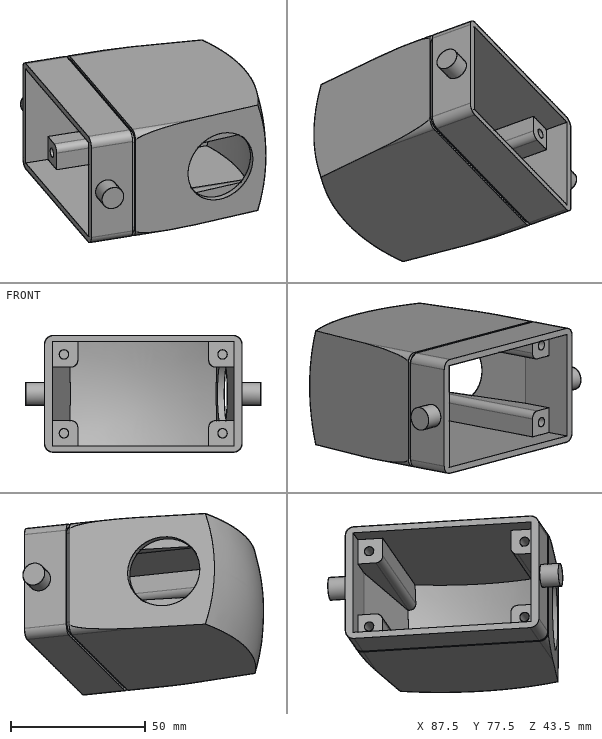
import cadquery as cq
import math

TOTAL_WIDTH = 87.5
TOTAL_LENGTH = 77.5
HEIGHT = 43.5

BODY_WIDTH = 73.5
CORNER_RADIUS = 3.3
SIDE_WALL = 3.0
FLAT_WALL = 2.4
DOME_WALL = 2.6
DOME_RADIUS = 80.5
DOME_CENTER_Y = TOTAL_LENGTH - DOME_RADIUS

OUTER_TAPER_START = 17.5
INNER_TAPER_START = 20.4
TAPER_SLOPE = 7.8 / 58.2

GROOVE_WIDTH = 1.1
GROOVE_DEPTH = 1.0

LUG_DIAMETER = 8.6
LUG_Y = 5.95

ENTRY_DIAMETER = 27.0
ENTRY_Y = 52.9

POST_SIZE = 9.45
POST_FILLET = 2.6
POST_FRONT_Y = 8.8
POST_HOLE_DIAMETER = 3.5
POST_HOLE_DEPTH = 10.5
POST_HOLE_INSET_X = 4.3
POST_HOLE_INSET_Z = 4.7

CAVITY_WIDTH = BODY_WIDTH - 2 * SIDE_WALL
CAVITY_HEIGHT = HEIGHT - 2 * FLAT_WALL


def block_along_y(width, height, start, end):
    """Rectangular block centred on the Y axis, from start to end along Y."""
    return cq.Workplane("XZ", origin=(0, start, 0)).rect(width, height).extrude(start - end)


def domed_wedge(width, height, taper_start, dome_radius):
    """Block with sides that taper past taper_start and a spherical far end."""
    half_width = width / 2
    end_half_width = half_width - TAPER_SLOPE * (TOTAL_LENGTH - taper_start)
    wedge = (
        cq.Workplane("XY", origin=(0, 0, -height / 2))
        .moveTo(-half_width, 0)
        .lineTo(half_width, 0)
        .lineTo(half_width, taper_start)
        .lineTo(end_half_width, TOTAL_LENGTH)
        .lineTo(-end_half_width, TOTAL_LENGTH)
        .lineTo(-half_width, taper_start)
        .close()
        .extrude(height)
    )
    return wedge.intersect(make_dome(dome_radius))


def make_dome(radius):
    """Half ball about the dome centre, with its pole on the +Y axis."""
    diagonal = radius * math.sqrt(0.5)
    return (
        cq.Workplane("XY")
        .moveTo(0, DOME_CENTER_Y)
        .lineTo(radius, DOME_CENTER_Y)
        .threePointArc((diagonal, DOME_CENTER_Y + diagonal), (0, DOME_CENTER_Y + radius))
        .close()
        .revolve(360, (0, 0, 0), (0, 1, 0))
    )


def make_cavity():
    return domed_wedge(CAVITY_WIDTH, CAVITY_HEIGHT, INNER_TAPER_START, DOME_RADIUS - DOME_WALL)


def make_groove():
    """Ring of material removed from around the outside."""
    start = OUTER_TAPER_START - GROOVE_WIDTH
    ring = block_along_y(BODY_WIDTH, HEIGHT, start, OUTER_TAPER_START)
    core = block_along_y(
        BODY_WIDTH - 2 * GROOVE_DEPTH, HEIGHT - 2 * GROOVE_DEPTH, start, OUTER_TAPER_START
    )
    return ring.cut(core.edges("|Y").fillet(CORNER_RADIUS))


def make_lugs():
    """Round bar through both lugs; the cavity later removes its middle."""
    return (
        cq.Workplane("YZ", origin=(-TOTAL_WIDTH / 2, LUG_Y, 0))
        .circle(LUG_DIAMETER / 2)
        .extrude(TOTAL_WIDTH)
    )


def make_cable_entry():
    return (
        cq.Workplane("YZ", origin=(0, ENTRY_Y, 0))
        .circle(ENTRY_DIAMETER / 2)
        .extrude(BODY_WIDTH / 2)
    )


def make_housing():
    rounded_block = block_along_y(BODY_WIDTH, HEIGHT, 0, TOTAL_LENGTH).edges("|Y").fillet(CORNER_RADIUS)
    outside = rounded_block.intersect(domed_wedge(BODY_WIDTH, HEIGHT, OUTER_TAPER_START, DOME_RADIUS))
    return (
        outside.cut(make_groove())
        .union(make_lugs())
        .cut(make_cavity())
        .cut(make_cable_entry())
    )


def make_post(side_x, side_z):
    """Screw post in one cavity corner, running back to the tapered side and the dome."""
    center_x = side_x * (CAVITY_WIDTH - POST_SIZE) / 2
    center_z = side_z * (CAVITY_HEIGHT - POST_SIZE) / 2
    hole_x = side_x * (CAVITY_WIDTH / 2 - POST_HOLE_INSET_X)
    hole_z = side_z * (CAVITY_HEIGHT / 2 - POST_HOLE_INSET_Z)
    inner_corner = (
        center_x - side_x * POST_SIZE / 2,
        (POST_FRONT_Y + TOTAL_LENGTH) / 2,
        center_z - side_z * POST_SIZE / 2,
    )
    bar = (
        block_along_y(POST_SIZE, POST_SIZE, POST_FRONT_Y, TOTAL_LENGTH)
        .translate((center_x, 0, center_z))
        .edges(cq.selectors.NearestToPointSelector(inner_corner))
        .fillet(POST_FILLET)
    )
    screw_hole = (
        cq.Workplane("XZ", origin=(hole_x, POST_FRONT_Y, hole_z))
        .circle(POST_HOLE_DIAMETER / 2)
        .extrude(-POST_HOLE_DEPTH)
    )
    return bar.intersect(make_cavity()).cut(screw_hole)


housing = make_housing()
posts = [make_post(side_x, side_z) for side_x in (-1, 1) for side_z in (-1, 1)]

result = cq.Compound.makeCompound([housing.solids().val(), *[post.solids().val() for post in posts]])